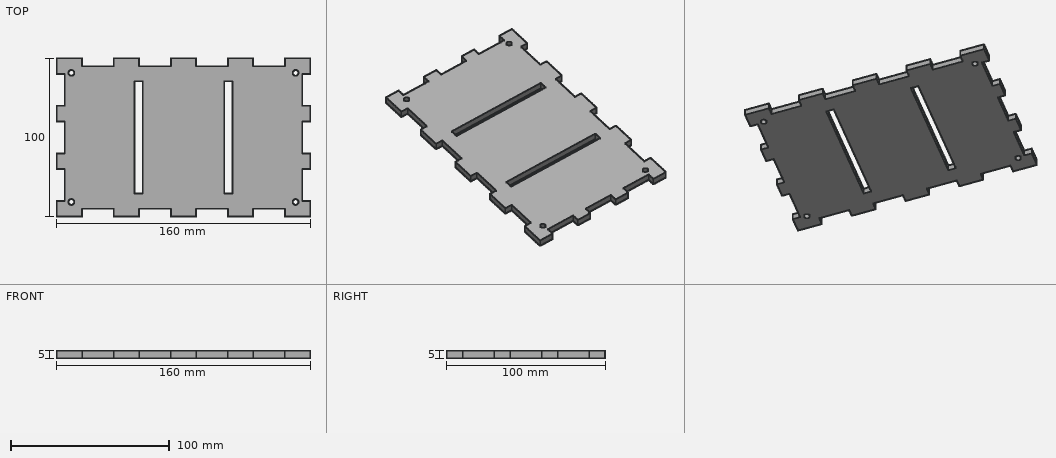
import cadquery as cq

length = 160.0
width = 100.0
thickness = 5.0

notch_length = 20.0
notch_depth = thickness
notches_along_length = 4
notches_along_width = 3

slot_length = 70.7
slot_width = thickness
slot_spacing = 56.6

hole_diameter = 3.5
hole_spacing_x = 141.5
hole_spacing_y = 81.5


def notch_centres(side_length, count):
    """Positions of evenly spaced notches along a side that starts and ends with a tab."""
    tab_length = (side_length - count * notch_length) / (count + 1)
    pitch = tab_length + notch_length
    return [(i - (count - 1) / 2) * pitch for i in range(count)]


long_side_notches = [
    (x, side * width / 2)
    for x in notch_centres(length, notches_along_length)
    for side in (-1, 1)
]
short_side_notches = [
    (side * length / 2, y)
    for y in notch_centres(width, notches_along_width)
    for side in (-1, 1)
]

plate = cq.Workplane("XY").rect(length, width).extrude(thickness)

notched_plate = (
    plate.faces(">Z").workplane(origin=(0, 0, thickness))
    .pushPoints(long_side_notches)
    .rect(notch_length, 2 * notch_depth)
    .cutThruAll()
    .pushPoints(short_side_notches)
    .rect(2 * notch_depth, notch_length)
    .cutThruAll()
)

slotted_plate = (
    notched_plate.faces(">Z").workplane(origin=(0, 0, thickness))
    .pushPoints([(-slot_spacing / 2, 0), (slot_spacing / 2, 0)])
    .rect(slot_width, slot_length)
    .cutThruAll()
)

result = (
    slotted_plate.faces(">Z").workplane(origin=(0, 0, thickness))
    .rect(hole_spacing_x, hole_spacing_y, forConstruction=True)
    .vertices()
    .hole(hole_diameter)
)